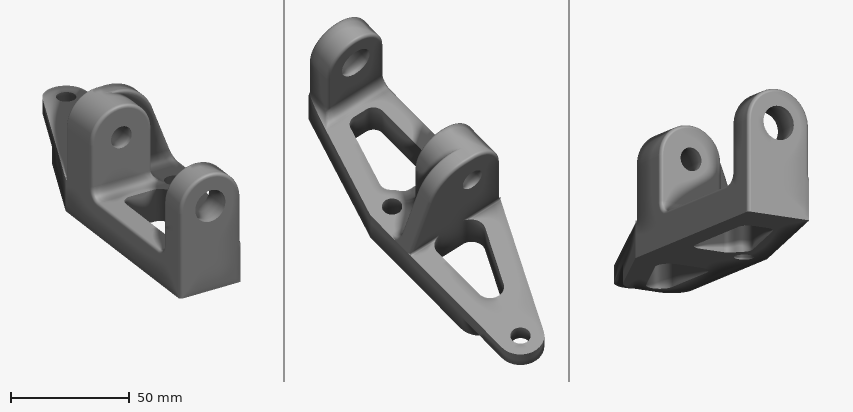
import cadquery as cq
import math

length = 165.0
width = 48.5
plate_height = 15.3
tongue_underside = 8.1

eye_radius = 10.0
eye_y = width - eye_radius
wall_x = 72.6
shoulder_x = 99.5
pin_radius = 4.3
rear_pin_x = 97.5
pin_boss_radius = 8.9

lug_radius = 15.0
lug_width = 2 * lug_radius
axle_z = 40.5
lug_top = axle_z + lug_radius
left_lug_inner_x = 93.0
right_lug_inner_x = 152.0
left_bore_radius = 5.1
right_bore_radius = 7.5

web_thickness = 8.4
web_radius = 20.0
web_arc_y = 19.5

left_window_radius = 6.0
right_window_radius = 5.0
right_window_start = 100.2
right_window_end = 144.9
step_x = 27.9
root_radius = 5.0
rim_radius = 1.5
wall_root_radius = 1.0

centre_dx = wall_x - eye_radius
centre_distance = math.hypot(centre_dx, eye_y)
taper = math.atan2(eye_y, centre_dx) - math.asin(eye_radius / centre_distance)
back_slope = (width - lug_width) / (length - shoulder_x)


def plan_outline():
    tangent_x = eye_radius - eye_radius * math.sin(taper)
    tangent_y = eye_y - eye_radius * math.cos(taper)
    return (
        cq.Workplane("XY")
        .moveTo(wall_x, 0)
        .lineTo(length, 0)
        .lineTo(length, lug_width)
        .lineTo(shoulder_x, width)
        .lineTo(eye_radius, width)
        .threePointArc((0, eye_y), (tangent_x, tangent_y))
        .close()
        .extrude(lug_top)
    )


def long_profile():
    """Side profile: plate and both lugs with coved inner roots; the left lug starts inside the web."""
    lug_start_x = wall_x + web_thickness / 2
    return (
        cq.Workplane("XZ")
        .lineTo(length, 0)
        .lineTo(length, lug_top)
        .lineTo(right_lug_inner_x, lug_top)
        .lineTo(right_lug_inner_x, plate_height + root_radius)
        .radiusArc((right_lug_inner_x - root_radius, plate_height), root_radius)
        .lineTo(left_lug_inner_x + root_radius, plate_height)
        .radiusArc((left_lug_inner_x, plate_height + root_radius), root_radius)
        .lineTo(left_lug_inner_x, lug_top)
        .lineTo(lug_start_x, lug_top)
        .lineTo(lug_start_x, plate_height)
        .lineTo(0, plate_height)
        .close()
        .extrude(-width)
    )


def cross_profile():
    """End profile: plate and round-topped lug with a coved back root."""
    return (
        cq.Workplane("YZ")
        .lineTo(width, 0)
        .lineTo(width, plate_height)
        .lineTo(lug_width + root_radius, plate_height)
        .radiusArc((lug_width, plate_height + root_radius), root_radius)
        .lineTo(lug_width, axle_z)
        .threePointArc((lug_radius, lug_top), (0, axle_z))
        .close()
        .extrude(length)
    )


def web():
    """Sloping web across the full width, coved at its root and rounded along both rims."""
    arc_z = lug_top - web_radius
    dy = width - web_arc_y
    dz = plate_height - arc_z
    angle = math.atan2(dz, dy) + math.acos(web_radius / math.hypot(dy, dz))

    def arc_point(a):
        return (web_arc_y + web_radius * math.cos(a), arc_z + web_radius * math.sin(a))

    diagonal = math.sqrt(0.5) * lug_radius
    outline = (
        cq.Workplane("YZ", origin=(wall_x, 0, 0))
        .moveTo(0, plate_height)
        .lineTo(width, plate_height)
        .lineTo(*arc_point(angle))
        .threePointArc(arc_point((angle + math.pi / 2) / 2), (web_arc_y, lug_top))
        .lineTo(lug_radius, lug_top)
        .threePointArc((lug_radius - diagonal, axle_z + diagonal), (0, axle_z))
        .close()
        .extrude(web_thickness + root_radius)
    )
    foot = web_thickness + root_radius
    web_side = (
        cq.Workplane("XZ", origin=(wall_x, 0, 0))
        .moveTo(0, plate_height)
        .lineTo(foot, plate_height)
        .radiusArc((web_thickness, plate_height + root_radius), root_radius)
        .lineTo(web_thickness, lug_top)
        .lineTo(0, lug_top)
        .close()
        .extrude(-width)
    )
    plain = outline.intersect(web_side)
    return plain.edges("|Y and >Z").fillet(rim_radius)


def wall_root():
    """Small fillet strip between the tongue and the outer face of the left lug."""
    return (
        cq.Workplane("XZ")
        .moveTo(wall_x, plate_height)
        .lineTo(wall_x - wall_root_radius, plate_height)
        .radiusArc((wall_x, plate_height + wall_root_radius), -wall_root_radius)
        .close()
        .extrude(-width)
    )


def left_window():
    end_y = eye_y - centre_dx * math.tan(taper)
    return (
        cq.Workplane("XY")
        .polyline([(eye_radius, eye_y), (wall_x, end_y), (wall_x, eye_y)])
        .close()
        .extrude(lug_top)
        .edges("|Z")
        .fillet(left_window_radius)
    )


def right_window():
    rail_drop = eye_radius * math.hypot(1, back_slope)

    def back_y(x):
        return width - back_slope * (x - shoulder_x) - rail_drop

    corners = (
        cq.Workplane("XY")
        .polyline([
            (right_window_start, eye_radius),
            (right_window_end, eye_radius),
            (right_window_end, back_y(right_window_end)),
            (right_window_start, back_y(right_window_start)),
        ])
        .close()
        .extrude(lug_top)
    )
    pin_boss = cq.Workplane("XY").center(rear_pin_x, eye_y).circle(pin_boss_radius).extrude(lug_top)
    return corners.cut(pin_boss).edges("|Z").fillet(right_window_radius)


def tongue_relief():
    """Material removed below the tongue, leaving a round-cornered lower body."""
    front_y = (wall_x - step_x) * math.tan(taper)
    kept = (
        cq.Workplane("XY")
        .polyline([(step_x, width), (step_x, front_y), (wall_x, 0), (wall_x, width)])
        .close()
        .extrude(tongue_underside)
        .edges("|Z and (not >X)")
        .fillet(eye_radius)
    )
    return cq.Workplane("XY").box(wall_x, width, tongue_underside, centered=False).cut(kept)


def bore(start_x, end_x, radius):
    return (
        cq.Workplane("YZ", origin=(start_x, lug_radius, axle_z))
        .circle(radius)
        .extrude(end_x - start_x)
    )


frame = long_profile().intersect(cross_profile())
exposed_arcs = frame.edges("%CIRCLE").edges(
    cq.selectors.BoxSelector((left_lug_inner_x - 1.6, -1.6, axle_z), (length + 1.6, width, lug_top))
)
frame = frame.newObject(exposed_arcs.vals()).fillet(rim_radius)

body = frame.union(web()).union(wall_root()).intersect(plan_outline())

body = body.cut(left_window()).cut(right_window()).cut(tongue_relief())

body = body.cut(bore(wall_x, left_lug_inner_x, left_bore_radius))
body = body.cut(bore(right_lug_inner_x, length, right_bore_radius))
pins = (
    cq.Workplane("XY")
    .pushPoints([(eye_radius, eye_y), (rear_pin_x, eye_y)])
    .circle(pin_radius)
    .extrude(lug_top)
)
result = body.cut(pins)